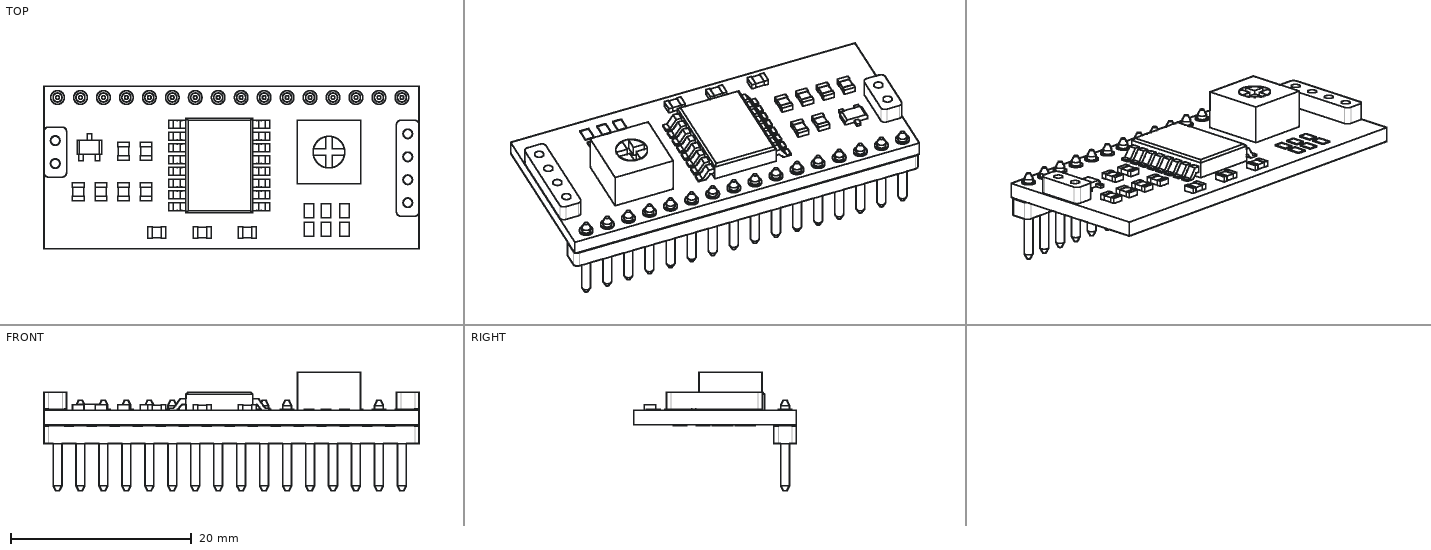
import cadquery as cq

BOARD_LENGTH = 41.5
BOARD_WIDTH = 18.0
BOARD_THICKNESS = 1.65
BOARD_TOP = BOARD_THICKNESS
BOARD_LEFT = -BOARD_LENGTH / 2
BOARD_RIGHT = BOARD_LENGTH / 2
BOARD_BACK = BOARD_WIDTH / 2

PIN_PITCH = 2.54
COPPER_THICKNESS = 0.1
PAD_DIAMETER = 1.5

HOUSING_WIDTH = 2.5
HOUSING_CORNER_RADIUS = 0.5
HOUSING_END_MARGIN = 1.5

HEADER_HEIGHT = 1.95
HEADER_Y = BOARD_BACK - HOUSING_WIDTH / 2
PIN_COUNT = 16
FIRST_PIN_X = BOARD_LEFT + HOUSING_END_MARGIN
PIN_DIAMETER = 1.0
PIN_TIP_DIAMETER = 0.4
PIN_TAPER_HEIGHT = 0.6
PIN_RISE = 1.1
PIN_DROP = 7.3

SOCKET_HEIGHT = 1.9
SOCKET_HOLE_DIAMETER = 1.0
LED_SOCKET_X = BOARD_LEFT + HOUSING_WIDTH / 2
LED_SOCKET_Y = 1.71
LED_SOCKET_HOLES = 2
BUS_SOCKET_X = BOARD_RIGHT - HOUSING_WIDTH / 2
BUS_SOCKET_Y = -0.08
BUS_SOCKET_HOLES = 4

CHIP_X = -1.34
CHIP_Y = 0.23
CHIP_WIDTH = 7.4
CHIP_LENGTH = 10.5
CHIP_HEIGHT = 2.0
CHIP_CHAMFER = 0.25
LEADS_PER_SIDE = 8
LEAD_PITCH = 1.3
LEAD_WIDTH = 0.87
LEAD_SHOULDER_TOP = 1.27
LEAD_SHOULDER_BOTTOM = 0.6
LEAD_SHOULDER_REACH = 0.63
LEAD_UNDERSIDE_REACH = 0.45
LEAD_HEEL_REACH = 0.95
LEAD_FOOT_START = 1.38
LEAD_FOOT_REACH = 1.88
LEAD_FOOT_THICKNESS = 0.2

TRIMMER_X = 10.78
TRIMMER_Y = 1.71
TRIMMER_SIDE = 7.0
TRIMMER_HEIGHT = 4.2
SCREW_DIAMETER = 3.5
SCREW_SLOT_WIDTH = 0.75
SCREW_SLOT_DEPTH = 1.3
SCREW_RECESS = 0.1

PASSIVE_LENGTH = 2.0
PASSIVE_WIDTH = 1.3
PASSIVE_HEIGHT = 0.6
PASSIVE_CAP_LENGTH = 0.5
PASSIVE_BODY_INSET = 0.05
PASSIVE_PITCH = 2.5
PASSIVE_FIRST_X = -16.95
REAR_PASSIVE_COLUMNS = (2, 3)
REAR_PASSIVE_Y = 1.82
FRONT_PASSIVE_COLUMNS = (0, 1, 2, 3)
FRONT_PASSIVE_Y = -2.67
EDGE_PASSIVE_X = (-8.25, -3.25, 1.75)
EDGE_PASSIVE_Y = -7.19

TRANSISTOR_X = -15.73
TRANSISTOR_Y = 2.24
TRANSISTOR_BASE_LENGTH = 2.7
TRANSISTOR_TOP_LENGTH = 2.2
TRANSISTOR_WIDTH = 1.55
TRANSISTOR_HEIGHT = 0.65
TRANSISTOR_SIDE_HEIGHT = 0.4
TRANSISTOR_LEAD_WIDTH = 0.5
TRANSISTOR_LEAD_REACH = 0.7
TRANSISTOR_LEAD_SPACING = 1.85
TRANSISTOR_LEAD_THICKNESS = 0.3

ADDRESS_PAD_X = (8.55, 10.43, 12.48)
ADDRESS_PAD_Y = (-4.78, -6.81)
ADDRESS_PAD_WIDTH = 1.05
ADDRESS_PAD_LENGTH = 1.55


def box_on(z, x, y, size_x, size_y, height):
    """Upright box centred on (x, y) with its bottom at z."""
    return cq.Workplane("XY", origin=(x, y, z)).rect(size_x, size_y).extrude(height)


def housing(z, x, y, size_x, size_y, height):
    """Box with rounded vertical edges."""
    return box_on(z, x, y, size_x, size_y, height).edges("|Z").fillet(HOUSING_CORNER_RADIUS)


def hole_row(y_centre, count):
    """Y positions of a row of holes centred on y_centre."""
    first = y_centre - (count - 1) * PIN_PITCH / 2
    return [first + i * PIN_PITCH for i in range(count)]


pin_points = [(FIRST_PIN_X + i * PIN_PITCH, HEADER_Y) for i in range(PIN_COUNT)]
led_points = [(LED_SOCKET_X, y) for y in hole_row(LED_SOCKET_Y, LED_SOCKET_HOLES)]
bus_points = [(BUS_SOCKET_X, y) for y in hole_row(BUS_SOCKET_Y, BUS_SOCKET_HOLES)]


def through_cylinders(points, diameter):
    """Cylinders through the board, as tall as the board and both copper layers."""
    return (
        cq.Workplane("XY", origin=(0, 0, -COPPER_THICKNESS))
        .pushPoints(points)
        .circle(diameter / 2)
        .extrude(BOARD_THICKNESS + 2 * COPPER_THICKNESS)
    )


def bare_board():
    """Board with round pads on both faces, drilled through at the socket holes."""
    socket_points = led_points + bus_points
    board = box_on(0, 0, 0, BOARD_LENGTH, BOARD_WIDTH, BOARD_THICKNESS)
    board = board.union(through_cylinders(pin_points + socket_points, PAD_DIAMETER))
    return board.cut(through_cylinders(socket_points, SOCKET_HOLE_DIAMETER))


def header():
    """Housing below the board with its row of pins, tapered at both ends."""
    bottom = -COPPER_THICKNESS - HEADER_HEIGHT
    body = housing(bottom, 0, HEADER_Y, BOARD_LENGTH, HOUSING_WIDTH, HEADER_HEIGHT)
    tip = -PIN_DROP
    top = BOARD_TOP + PIN_RISE
    radius = PIN_DIAMETER / 2
    tip_radius = PIN_TIP_DIAMETER / 2
    pin = (
        cq.Workplane("XZ")
        .polyline([
            (0, tip),
            (tip_radius, tip),
            (radius, tip + PIN_TAPER_HEIGHT),
            (radius, top - PIN_TAPER_HEIGHT),
            (tip_radius, top),
            (0, top),
        ])
        .close()
        .revolve(360, (0, 0, 0), (0, 1, 0))
    )
    for x, y in pin_points:
        body = body.union(pin.translate((x, y, 0)))
    return body


def socket(points):
    """Housing on top of the board with one through hole per point."""
    x = points[0][0]
    y = (points[0][1] + points[-1][1]) / 2
    length = points[-1][1] - points[0][1] + 2 * HOUSING_END_MARGIN
    bottom = BOARD_TOP + COPPER_THICKNESS
    body = housing(bottom, x, y, HOUSING_WIDTH, length, SOCKET_HEIGHT)
    holes = (
        cq.Workplane("XY", origin=(0, 0, bottom))
        .pushPoints(points)
        .circle(SOCKET_HOLE_DIAMETER / 2)
        .extrude(SOCKET_HEIGHT)
    )
    return body.cut(holes)


def driver_chip():
    """Chip body with a chamfered top and gull-wing leads on both sides."""
    body = box_on(0, 0, 0, CHIP_WIDTH, CHIP_LENGTH, CHIP_HEIGHT).faces(">Z").chamfer(CHIP_CHAMFER)
    side = CHIP_WIDTH / 2
    lead = (
        cq.Workplane("XZ")
        .polyline([
            (side, LEAD_SHOULDER_BOTTOM),
            (side, LEAD_SHOULDER_TOP),
            (side + LEAD_SHOULDER_REACH, LEAD_SHOULDER_TOP),
            (side + LEAD_FOOT_START, LEAD_FOOT_THICKNESS),
            (side + LEAD_FOOT_REACH, LEAD_FOOT_THICKNESS),
            (side + LEAD_FOOT_REACH, 0),
            (side + LEAD_HEEL_REACH, 0),
            (side + LEAD_UNDERSIDE_REACH, LEAD_SHOULDER_BOTTOM),
        ])
        .close()
        .extrude(LEAD_WIDTH / 2, both=True)
    )
    lead_pair = lead.union(lead.mirror("YZ"))
    first_y = -(LEADS_PER_SIDE - 1) * LEAD_PITCH / 2
    for i in range(LEADS_PER_SIDE):
        body = body.union(lead_pair.translate((0, first_y + i * LEAD_PITCH, 0)))
    return body.translate((CHIP_X, CHIP_Y, BOARD_TOP))


def trimmer():
    """Square block with a slightly sunken round screw head and a cross slot in it."""
    block = box_on(BOARD_TOP, TRIMMER_X, TRIMMER_Y, TRIMMER_SIDE, TRIMMER_SIDE, TRIMMER_HEIGHT)
    top = BOARD_TOP + TRIMMER_HEIGHT
    floor = top - SCREW_SLOT_DEPTH
    slot_x = box_on(floor, TRIMMER_X, TRIMMER_Y, SCREW_DIAMETER, SCREW_SLOT_WIDTH, SCREW_SLOT_DEPTH)
    slot_y = box_on(floor, TRIMMER_X, TRIMMER_Y, SCREW_SLOT_WIDTH, SCREW_DIAMETER, SCREW_SLOT_DEPTH)
    cross = slot_x.union(slot_y).intersect(screw_disc(floor, SCREW_SLOT_DEPTH))
    return block.cut(cross).cut(screw_disc(top - SCREW_RECESS, SCREW_RECESS))


def screw_disc(z, height):
    """Disc of the screw's diameter with its bottom at z."""
    return (
        cq.Workplane("XY", origin=(TRIMMER_X, TRIMMER_Y, z))
        .circle(SCREW_DIAMETER / 2)
        .extrude(height)
    )


def passive(x, y, along_x):
    """Chip component: a slightly smaller body between two end caps."""
    body_width = PASSIVE_WIDTH - 2 * PASSIVE_BODY_INSET
    body_height = PASSIVE_HEIGHT - PASSIVE_BODY_INSET
    part = box_on(0, 0, 0, PASSIVE_LENGTH - PASSIVE_CAP_LENGTH, body_width, body_height)
    cap_x = (PASSIVE_LENGTH - PASSIVE_CAP_LENGTH) / 2
    for end in (-1, 1):
        part = part.union(box_on(0, end * cap_x, 0, PASSIVE_CAP_LENGTH, PASSIVE_WIDTH, PASSIVE_HEIGHT))
    if not along_x:
        part = part.rotate((0, 0, 0), (0, 0, 1), 90)
    return part.translate((x, y, BOARD_TOP))


def passives():
    """All chip components: two rows along Y and one row along X at the front edge."""
    parts = []
    for column in REAR_PASSIVE_COLUMNS:
        parts.append(passive(PASSIVE_FIRST_X + column * PASSIVE_PITCH, REAR_PASSIVE_Y, False))
    for column in FRONT_PASSIVE_COLUMNS:
        parts.append(passive(PASSIVE_FIRST_X + column * PASSIVE_PITCH, FRONT_PASSIVE_Y, False))
    for x in EDGE_PASSIVE_X:
        parts.append(passive(x, EDGE_PASSIVE_Y, True))
    return parts


def transistor():
    """Body with sloping ends, one lead at the back and two at the front."""
    half_base = TRANSISTOR_BASE_LENGTH / 2
    half_top = TRANSISTOR_TOP_LENGTH / 2
    part = (
        cq.Workplane("XZ")
        .polyline([
            (-half_base, 0),
            (half_base, 0),
            (half_base, TRANSISTOR_SIDE_HEIGHT),
            (half_top, TRANSISTOR_HEIGHT),
            (-half_top, TRANSISTOR_HEIGHT),
            (-half_base, TRANSISTOR_SIDE_HEIGHT),
        ])
        .close()
        .extrude(TRANSISTOR_WIDTH / 2, both=True)
    )
    lead_y = (TRANSISTOR_WIDTH + TRANSISTOR_LEAD_REACH) / 2
    half_spacing = TRANSISTOR_LEAD_SPACING / 2
    for x, y in ((0, lead_y), (-half_spacing, -lead_y), (half_spacing, -lead_y)):
        lead = box_on(0, x, y, TRANSISTOR_LEAD_WIDTH, TRANSISTOR_LEAD_REACH, TRANSISTOR_LEAD_THICKNESS)
        part = part.union(lead)
    return part.translate((TRANSISTOR_X, TRANSISTOR_Y, BOARD_TOP))


def address_pads():
    """Bare rectangular pads on the top face."""
    return (
        cq.Workplane("XY", origin=(0, 0, BOARD_TOP))
        .pushPoints([(x, y) for x in ADDRESS_PAD_X for y in ADDRESS_PAD_Y])
        .rect(ADDRESS_PAD_WIDTH, ADDRESS_PAD_LENGTH)
        .extrude(COPPER_THICKNESS)
    )


result = bare_board()
components = [
    header(),
    socket(led_points),
    socket(bus_points),
    driver_chip(),
    trimmer(),
    transistor(),
    address_pads(),
]
for component in components + passives():
    result = result.union(component)